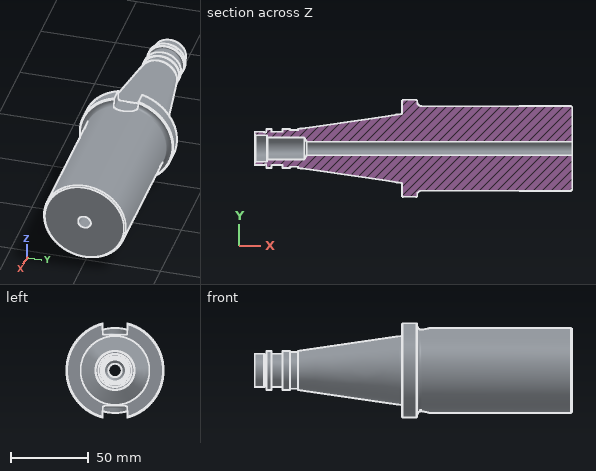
import cadquery as cq
import math


total_length = 205.0
undercut_start = 6.0
pilot_ring_start = 7.5
pilot_ring_end = 11.0
land_start = 18.0
land_end = 23.0
taper_start = 28.0
gauge_plane = 93.4
gauge_to_flange = 1.6
flange_thickness = 10.0
flange_start = gauge_plane + gauge_to_flange
flange_end = flange_start + flange_thickness

pilot_radius = 10.8
undercut_radius = 10.4
ring_radius = 12.65
relief_radius = 11.95
gauge_radius = 44.45 / 2
flange_radius = 63.0 / 2
body_radius = 55.0 / 2
taper_slope = 7.0 / 48.0
taper_start_radius = gauge_radius - (gauge_plane - taper_start) * taper_slope

pilot_fillet = 0.6
ring_chamfer = 0.3
relief_fillet = 0.3
flange_root_fillet = 0.6
flange_chamfer = 0.6
body_fillet = 2.5
body_chamfer = 1.0

slot_width = 16.1
slot_floor_height = 22.9
slot_floor_fillet = 1.4
slot_overrun = 1.0

through_radius = 8.5 / 2
thread_radius = 14.0 / 2
thread_depth = 32.0
counterbore_radius = 17.0 / 2
counterbore_depth = 8.0
countersink_radius = 15.6 / 2
countersink_half_angle = math.radians(60.0)
countersink_depth = (countersink_radius - thread_radius) / math.tan(countersink_half_angle)
mouth_chamfer = 0.8
drill_tip_half_angle = math.radians(59.0)
drill_tip_depth = thread_depth + (thread_radius - through_radius) / math.tan(drill_tip_half_angle)


def revolve_about_x(profile):
    return profile.close().revolve(360, (0, 0, 0), (1, 0, 0))


def fillet_arc(profile, center, radius, start_angle, end_angle):
    """Run the profile along a round stretch; angles are in degrees from +X."""
    def point(angle):
        a = math.radians(angle)
        return (center[0] + radius * math.cos(a), center[1] + radius * math.sin(a))

    middle_angle = (start_angle + end_angle) / 2
    return profile.lineTo(*point(start_angle)).threePointArc(point(middle_angle), point(end_angle))


def raised_land(profile, start, end):
    """Run the profile over a ring of ring_radius with chamfered edges."""
    return (
        profile
        .lineTo(start, ring_radius - ring_chamfer)
        .lineTo(start + ring_chamfer, ring_radius)
        .lineTo(end - ring_chamfer, ring_radius)
        .lineTo(end, ring_radius - ring_chamfer)
    )


def make_outer_body():
    profile = cq.Workplane("XZ").moveTo(0, 0).lineTo(0, pilot_radius)

    profile = profile.lineTo(undercut_start, pilot_radius)
    undercut_center = (pilot_ring_start - pilot_fillet, undercut_radius + pilot_fillet)
    profile = fillet_arc(profile, undercut_center, pilot_fillet, -90, 0)
    profile = raised_land(profile, pilot_ring_start, pilot_ring_end)
    groove_y = pilot_radius + pilot_fillet
    profile = fillet_arc(profile, (pilot_ring_end + pilot_fillet, groove_y), pilot_fillet, 180, 270)
    profile = fillet_arc(profile, (land_start - pilot_fillet, groove_y), pilot_fillet, -90, 0)

    profile = raised_land(profile, land_start, land_end)
    relief_y = relief_radius + relief_fillet
    profile = fillet_arc(profile, (land_end + relief_fillet, relief_y), relief_fillet, 180, 270)
    profile = fillet_arc(profile, (taper_start - relief_fillet, relief_y), relief_fillet, -90, 0)
    profile = (
        profile
        .lineTo(taper_start, taper_start_radius - ring_chamfer)
        .lineTo(taper_start + ring_chamfer, taper_start_radius + ring_chamfer * taper_slope)
        .lineTo(gauge_plane, gauge_radius)
    )

    root_center = (flange_start - flange_root_fillet, gauge_radius + flange_root_fillet)
    profile = fillet_arc(profile, root_center, flange_root_fillet, -90, 0)
    profile = (
        profile
        .lineTo(flange_start, flange_radius - flange_chamfer)
        .lineTo(flange_start + flange_chamfer, flange_radius)
        .lineTo(flange_end - flange_chamfer, flange_radius)
        .lineTo(flange_end, flange_radius - flange_chamfer)
    )

    body_center = (flange_end + body_fillet, body_radius + body_fillet)
    profile = fillet_arc(profile, body_center, body_fillet, 180, 270)
    profile = (
        profile
        .lineTo(total_length - body_chamfer, body_radius)
        .lineTo(total_length, body_radius - body_chamfer)
        .lineTo(total_length, 0)
    )
    return revolve_about_x(profile)


def make_bore():
    profile = (
        cq.Workplane("XZ")
        .moveTo(0, 0)
        .lineTo(0, counterbore_radius + mouth_chamfer)
        .lineTo(mouth_chamfer, counterbore_radius)
        .lineTo(counterbore_depth, counterbore_radius)
        .lineTo(counterbore_depth, countersink_radius)
        .lineTo(counterbore_depth + countersink_depth, thread_radius)
        .lineTo(thread_depth, thread_radius)
        .lineTo(drill_tip_depth, through_radius)
        .lineTo(total_length, through_radius)
        .lineTo(total_length, 0)
    )
    return revolve_about_x(profile)


def make_slot_cutter():
    """Round-ended cutter for the upper slot, running in through the flange face."""
    half_width = slot_width / 2
    cutter = (
        cq.Workplane("XY", origin=(0, 0, slot_floor_height))
        .moveTo(flange_start - gauge_to_flange, -half_width)
        .lineTo(flange_end, -half_width)
        .threePointArc((flange_end + half_width, 0), (flange_end, half_width))
        .lineTo(flange_start - gauge_to_flange, half_width)
        .close()
        .extrude(flange_radius - slot_floor_height + slot_overrun)
    )
    return cutter.faces("<Z").edges("not <X").fillet(slot_floor_fillet)


slot_cutter = make_slot_cutter()
result = make_outer_body().cut(make_bore())
for side_angle in (0, 180):
    result = result.cut(slot_cutter.rotate((0, 0, 0), (1, 0, 0), side_angle))